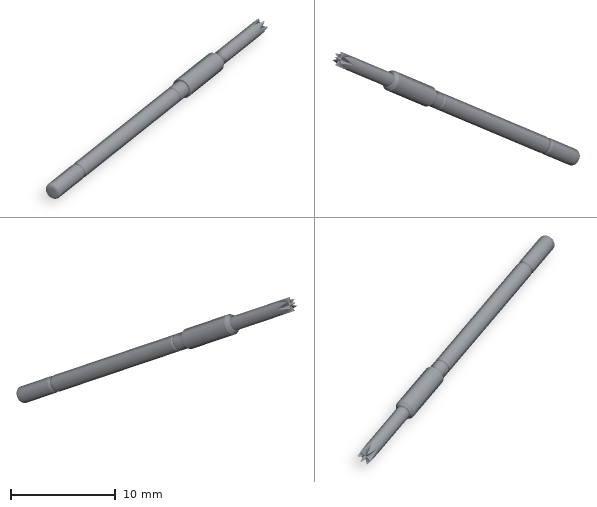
import cadquery as cq
import math

length = 36.0

barrel_radius = 1.65 / 2
rear_round = 0.35

collar_radius = 2.0 / 2
collar_rear = 22.0
collar_front = 28.0
collar_cone_length = 0.4
collar_front_radius = 1.6 / 2

rear_groove = (4.5, 0.32, 0.125)
front_groove = (20.55, 0.2, 0.1)

plunger_radius = 1.4 / 2
tooth_count = 6
tooth_drop = 0.45
pin_base_radius = 0.18
pin_height = 0.72
valley_drop = 1.9
valley_start_radius = 0.2
valley_start_drop = 0.83
valley_flank = 0.28

notch_headroom = 0.18
notch_overrun = 0.18


def rolled_groove(profile, groove):
    """Continue the profile along the barrel through two convex rolls meeting in a V."""
    centre, half_width, depth = groove
    roll_radius = (half_width**2 + depth**2) / (2 * depth)
    half_angle = math.asin(half_width / roll_radius) / 2
    mid_offset = half_width - roll_radius * math.sin(half_angle)
    mid_radius = barrel_radius - roll_radius * (1 - math.cos(half_angle))
    return (
        profile.lineTo(barrel_radius, centre - half_width)
        .threePointArc((mid_radius, centre - mid_offset), (barrel_radius - depth, centre))
        .threePointArc((mid_radius, centre + mid_offset), (barrel_radius, centre + half_width))
    )


def turned_body():
    """Revolve the barrel, collar, plunger, toothed rim and centre pin in one piece."""
    profile = (
        cq.Workplane("XY")
        .lineTo(barrel_radius - rear_round, 0)
        .radiusArc((barrel_radius, rear_round), -rear_round)
    )
    profile = rolled_groove(profile, rear_groove)
    profile = rolled_groove(profile, front_groove)
    profile = (
        profile.lineTo(barrel_radius, collar_rear)
        .lineTo(collar_radius, collar_rear)
        .lineTo(collar_radius, collar_front - collar_cone_length)
        .lineTo(collar_front_radius, collar_front)
        .lineTo(plunger_radius, collar_front)
        .lineTo(plunger_radius, length - tooth_drop)
        .lineTo(pin_base_radius, length - pin_height)
        .lineTo(0, length)
        .close()
    )
    return profile.revolve(360, (0, 0), (0, 1))


def notch_section(workplane, floor):
    """Draw the V section of a notch, from its floor up to clear of the pin tip."""
    top = length + notch_headroom
    half_width = valley_flank * (top - floor)
    return workplane.polyline([(-half_width, top), (0, floor), (half_width, top)]).close()


def crown_notch():
    """V-shaped notch above +Z whose floor drops from beside the pin to the plunger wall."""
    floor_slope = (valley_drop - valley_start_drop) / (plunger_radius - valley_start_radius)
    reach = plunger_radius + notch_overrun - valley_start_radius
    inner_floor = length - valley_start_drop
    outer_floor = inner_floor - floor_slope * reach
    start = cq.Workplane("XY", origin=(0, 0, valley_start_radius))
    inner = notch_section(start, inner_floor)
    return notch_section(inner.workplane(offset=reach), outer_floor).loft(ruled=True)


result = turned_body()
notch = crown_notch()
for i in range(tooth_count):
    result = result.cut(notch.rotate((0, 0, 0), (0, 1, 0), i * 360 / tooth_count))